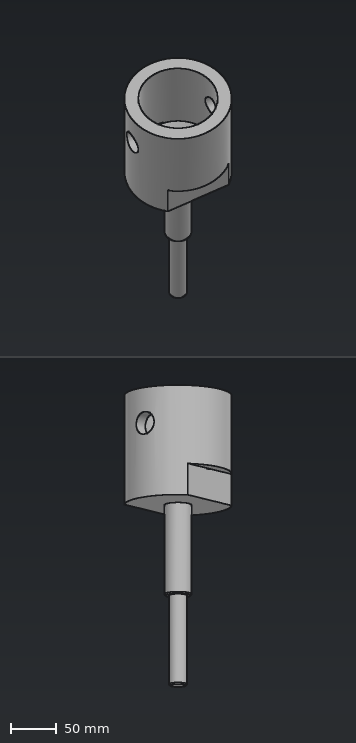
import cadquery as cq

total_height = 325.0
cup_diameter = 118.0
cup_height = 123.0
cup_bottom = total_height - cup_height

upper_stem_diameter = 30.0
lower_stem_diameter = 20.0
lower_stem_length = 100.8
stem_chamfer = 1.5

bore_diameter = 87.0
floor_diameter = 63.0
taper_height = (bore_diameter - floor_diameter) / 2
floor_thickness = 22.8
floor_z = cup_bottom + floor_thickness

cross_hole_diameter = 25.0
cross_hole_z = total_height - 40.0
flat_spacing = 89.0
flat_height = 35.0


def cylinder(diameter, bottom, top):
    return cq.Workplane("XY").workplane(offset=bottom).circle(diameter / 2).extrude(top - bottom)


def make_stem():
    """Two-diameter stem with a chamfer at the lower end of each step."""
    lower = cylinder(lower_stem_diameter, 0, lower_stem_length)
    upper = cylinder(upper_stem_diameter, lower_stem_length, cup_bottom)
    lower = lower.faces("<Z").chamfer(stem_chamfer)
    upper = upper.faces("<Z").chamfer(stem_chamfer)
    return lower.union(upper)


def make_bore():
    """Blind bore narrowing to a flat floor."""
    return (
        cq.Workplane("XZ")
        .moveTo(0, floor_z)
        .lineTo(floor_diameter / 2, floor_z)
        .lineTo(bore_diameter / 2, floor_z + taper_height)
        .lineTo(bore_diameter / 2, total_height)
        .lineTo(0, total_height)
        .close()
        .revolve(360, (0, 0, 0), (0, 1, 0))
    )


def make_cross_hole():
    """Hole along Y through both cup walls."""
    return (
        cq.Workplane("XZ")
        .center(0, cross_hole_z)
        .circle(cross_hole_diameter / 2)
        .extrude(cup_diameter, both=True)
    )


def make_flatted_cup():
    """Cup blank with two parallel flats, facing -X and +X, at its lower end."""
    barrel = cylinder(cup_diameter, cup_bottom + flat_height, total_height)
    flatted_end = cylinder(cup_diameter, cup_bottom, cup_bottom + flat_height)
    between_flats = (
        cq.Workplane("XY")
        .workplane(offset=cup_bottom)
        .rect(flat_spacing, cup_diameter)
        .extrude(flat_height)
    )
    return barrel.union(flatted_end.intersect(between_flats))


cup = make_flatted_cup().cut(make_bore()).cut(make_cross_hole())
result = cup.union(make_stem())